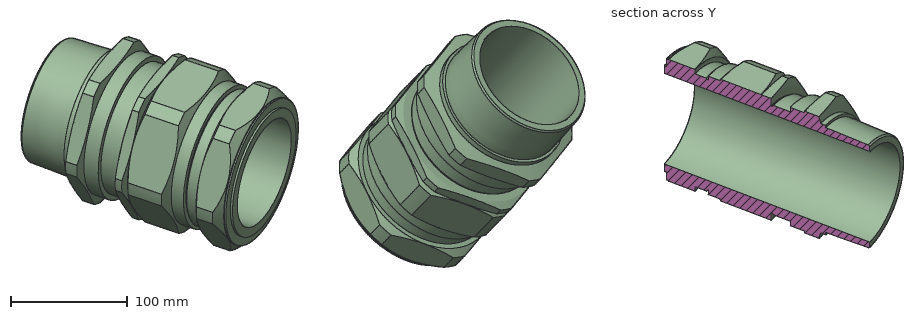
import cadquery as cq
import math

ACROSS_FLATS = 133.55
CORNER_RADIUS = 73.6
FACE_MARGIN = 0.2
FACE_RADIUS = ACROSS_FLATS / 2 - FACE_MARGIN

SHALLOW_CHAMFER = math.radians(15)
STEEP_CHAMFER = math.radians(30)
END_CHAMFER = math.radians(45)

TOTAL_LENGTH = 206.3
BORE_RADIUS = 49.3

SPIGOT_TIP_RADIUS = 55.2
SPIGOT_START_RADIUS = 56.4
SPIGOT_RADIUS = 57.5
SPIGOT_CHAMFER_LENGTH = 1.6
TAPER_END = 37.1
SPIGOT_END = 44.2

BODY_RADIUS = 60.1
FLANGE_RADIUS = 65.0
BODY_CHAMFER = 1.6
FIRST_FLANGE_END = 79.9
BODY_CHAMFER_START = 96.6
SECOND_FLANGE_END = 162.4
SLEEVE_RADIUS = 62.0

FIRST_NUT_START = 49.2
FIRST_NUT_END = 66.0
SECOND_NUT_START = 99.0
SECOND_NUT_END = 109.1
THIRD_NUT_END = 150.6
END_NUT_START = 175.4
END_NUT_END = 202.2
END_NUT_TURN = 0.5

RIM_RADIUS = 66.4
RIM_CHAMFER = 0.5
RIM_END = 204.2
LIP_RADIUS = 58.1


def revolve_profile(points):
    """Solid of revolution about X from (x, radius) points, closed along the axis."""
    outline = [(points[0][0], 0), *points, (points[-1][0], 0)]
    return cq.Workplane("XZ").polyline(outline).close().revolve(360, (0, 0, 0), (1, 0, 0))


def cylinder(start, end, radius):
    return revolve_profile([(start, radius), (end, radius)])


def hex_nut(start, end, start_radius, end_radius, start_angle, end_angle):
    """Hexagon with turned corners and a conical chamfer at each end."""
    circumscribed_diameter = ACROSS_FLATS / math.cos(math.pi / 6)
    prism = (
        cq.Workplane("YZ", origin=(start, 0, 0))
        .polygon(6, circumscribed_diameter)
        .extrude(end - start)
    )
    start_chamfer = (CORNER_RADIUS - start_radius) * math.tan(start_angle)
    end_chamfer = (CORNER_RADIUS - end_radius) * math.tan(end_angle)
    envelope = revolve_profile([
        (start, start_radius),
        (start + start_chamfer, CORNER_RADIUS),
        (end - end_chamfer, CORNER_RADIUS),
        (end, end_radius),
    ])
    return prism.intersect(envelope)


def make_spigot():
    return revolve_profile([
        (0, SPIGOT_TIP_RADIUS),
        (SPIGOT_CHAMFER_LENGTH, SPIGOT_START_RADIUS),
        (TAPER_END, SPIGOT_RADIUS),
        (SPIGOT_END, SPIGOT_RADIUS),
    ])


def make_body():
    """Round stretch through the first nut, with a flange behind it and a chamfered end."""
    return revolve_profile([
        (SPIGOT_END, BODY_RADIUS),
        (FIRST_NUT_END, BODY_RADIUS),
        (FIRST_NUT_END, FLANGE_RADIUS),
        (FIRST_FLANGE_END, FLANGE_RADIUS),
        (FIRST_FLANGE_END, BODY_RADIUS),
        (BODY_CHAMFER_START, BODY_RADIUS),
        (BODY_CHAMFER_START + BODY_CHAMFER, BODY_RADIUS - BODY_CHAMFER),
        (SECOND_NUT_START, BODY_RADIUS - BODY_CHAMFER),
    ])


def make_sleeve():
    """Flange behind the third nut and the chamfered sleeve running into the end nut."""
    return revolve_profile([
        (THIRD_NUT_END, FLANGE_RADIUS),
        (SECOND_FLANGE_END, FLANGE_RADIUS),
        (SECOND_FLANGE_END, SLEEVE_RADIUS - BODY_CHAMFER),
        (SECOND_FLANGE_END + BODY_CHAMFER, SLEEVE_RADIUS),
        (END_NUT_START, SLEEVE_RADIUS),
    ])


def make_nuts():
    first_nut = hex_nut(FIRST_NUT_START, FIRST_NUT_END, BODY_RADIUS, FLANGE_RADIUS,
                        SHALLOW_CHAMFER, SHALLOW_CHAMFER)
    second_nut = hex_nut(SECOND_NUT_START, SECOND_NUT_END, FACE_RADIUS, FACE_RADIUS,
                         SHALLOW_CHAMFER, SHALLOW_CHAMFER)
    third_nut = hex_nut(SECOND_NUT_END, THIRD_NUT_END, FACE_RADIUS, FLANGE_RADIUS,
                        STEEP_CHAMFER, STEEP_CHAMFER)
    end_nut = hex_nut(END_NUT_START, END_NUT_END, FACE_RADIUS, FACE_RADIUS,
                      STEEP_CHAMFER, END_CHAMFER)
    end_nut = end_nut.rotate((0, 0, 0), (1, 0, 0), END_NUT_TURN)
    return [first_nut, second_nut, third_nut, end_nut]


def make_end_rings():
    """Chamfered rim behind the end nut, and the narrower lip that closes the part."""
    rim = revolve_profile([
        (END_NUT_END, RIM_RADIUS - RIM_CHAMFER),
        (END_NUT_END + RIM_CHAMFER, RIM_RADIUS),
        (RIM_END, RIM_RADIUS),
    ])
    lip = cylinder(RIM_END, TOTAL_LENGTH, LIP_RADIUS)
    return [rim, lip]


result = make_spigot()
for section in [make_body(), make_sleeve(), *make_nuts(), *make_end_rings()]:
    result = result.union(section)
result = result.cut(cylinder(0, TOTAL_LENGTH, BORE_RADIUS))